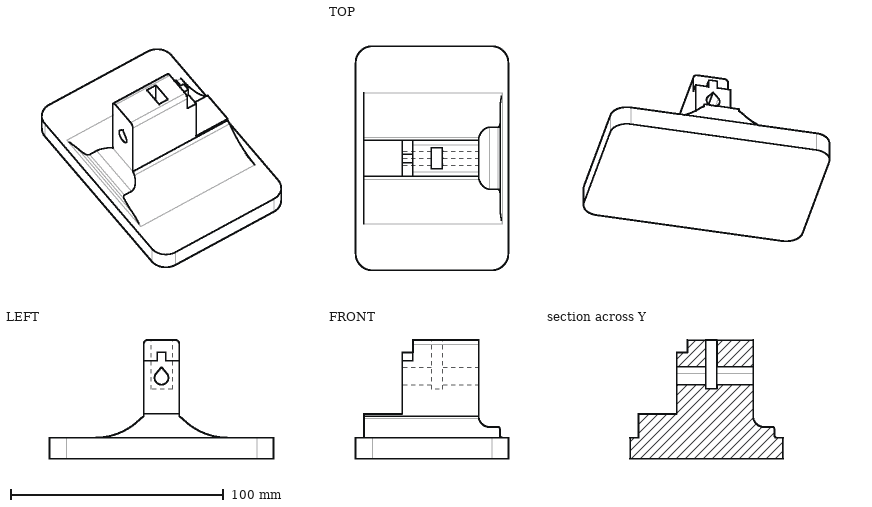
import cadquery as cq
import math

BASE_LENGTH = 72.0
BASE_WIDTH = 105.6
BASE_HEIGHT = 10.0
BASE_CORNER_RADIUS = 8.0
BASE_LEFT = -BASE_LENGTH / 2

FOOT_INSET = 4.0
FOOT_LEFT = BASE_LEFT + FOOT_INSET
FOOT_LENGTH = 64.0
FOOT_RIGHT = FOOT_LEFT + FOOT_LENGTH
FOOT_HALF_WIDTH = 30.9
FLARE_RADIUS = 29.3
FLARE_TOP = 18.95
BEVEL_TOP = 20.0
LEDGE_TOP = 21.1

BLOCK_INSET = 22.0
BLOCK_LENGTH = 36.0
BLOCK_LEFT = BASE_LEFT + BLOCK_INSET
BLOCK_RIGHT = BLOCK_LEFT + BLOCK_LENGTH
BLOCK_WIDTH = 16.8
BLOCK_TOP = 56.0
BLOCK_EDGE_RADIUS = 2.0

STEP_DEPTH = 5.0
STEP_LEVEL = 46.1
KEY_WIDTH = 4.0
KEY_HEIGHT = 4.0

SHELF_LEVEL = 15.0
SHELF_FILLET_RADIUS = BEVEL_TOP - SHELF_LEVEL
SHELF_EDGE_RADIUS = 1.0
FOOT_END_FILLET_RADIUS = 1.0

HOLE_RADIUS = 3.2
HOLE_LEVEL = 38.1
HOLE_APEX_RISE = 5.0
POCKET_LENGTH = 5.1
POCKET_WIDTH = 10.1
POCKET_INSET = 13.75
POCKET_LEFT = BLOCK_LEFT + POCKET_INSET
POCKET_FLOOR = HOLE_LEVEL - POCKET_WIDTH / 2


def box(x_min, x_max, width, z_min, z_max):
    """Box spanning the given X and Z limits, centred on Y = 0."""
    return (
        cq.Workplane("XY", origin=((x_min + x_max) / 2, 0, z_min))
        .rect(x_max - x_min, width)
        .extrude(z_max - z_min)
    )


def base_plate():
    plate = box(BASE_LEFT, BASE_LEFT + BASE_LENGTH, BASE_WIDTH, 0, BASE_HEIGHT)
    return plate.edges("|Z").fillet(BASE_CORNER_RADIUS)


def flare_offset(rise):
    """Distance from the flare's outer edge at a given rise above the plate."""
    return math.sqrt(FLARE_RADIUS**2 - (FLARE_RADIUS - rise) ** 2)


def flared_section(x_min, x_max):
    """Foot cross-section whose concave flanks leave the plate tangentially."""
    rise = FLARE_TOP - BASE_HEIGHT
    flare_top_y = FOOT_HALF_WIDTH - flare_offset(rise)
    middle_y = FOOT_HALF_WIDTH - flare_offset(rise / 2)
    middle_z = BASE_HEIGHT + rise / 2
    neck_y = BLOCK_WIDTH / 2
    return (
        cq.Workplane("YZ", origin=(x_min, 0, 0))
        .moveTo(-FOOT_HALF_WIDTH, BASE_HEIGHT)
        .threePointArc((-middle_y, middle_z), (-flare_top_y, FLARE_TOP))
        .lineTo(-neck_y, BEVEL_TOP)
        .lineTo(-neck_y, LEDGE_TOP)
        .lineTo(neck_y, LEDGE_TOP)
        .lineTo(neck_y, BEVEL_TOP)
        .lineTo(flare_top_y, FLARE_TOP)
        .threePointArc((middle_y, middle_z), (FOOT_HALF_WIDTH, BASE_HEIGHT))
        .close()
        .extrude(x_max - x_min)
    )


def foot_side_profile():
    """Foot outline along X: block end, shelf fillet, shelf, rounded edge, end fillet."""
    diagonal = math.sqrt(0.5)
    shelf_start = BLOCK_RIGHT + SHELF_FILLET_RADIUS
    end_radius = FOOT_END_FILLET_RADIUS
    edge_center_x = FOOT_RIGHT - SHELF_EDGE_RADIUS
    edge_center_z = SHELF_LEVEL - SHELF_EDGE_RADIUS
    end_center_x = FOOT_RIGHT + end_radius
    end_center_z = BASE_HEIGHT + end_radius
    fillet_reach = SHELF_FILLET_RADIUS * diagonal
    edge_reach = SHELF_EDGE_RADIUS * diagonal
    end_reach = end_radius * diagonal
    return (
        cq.Workplane("XZ", origin=(0, FOOT_HALF_WIDTH, 0))
        .moveTo(FOOT_LEFT, BASE_HEIGHT)
        .lineTo(FOOT_LEFT, LEDGE_TOP)
        .lineTo(BLOCK_RIGHT, LEDGE_TOP)
        .lineTo(BLOCK_RIGHT, BEVEL_TOP)
        .threePointArc(
            (shelf_start - fillet_reach, BEVEL_TOP - fillet_reach),
            (shelf_start, SHELF_LEVEL),
        )
        .lineTo(edge_center_x, SHELF_LEVEL)
        .threePointArc(
            (edge_center_x + edge_reach, edge_center_z + edge_reach),
            (FOOT_RIGHT, edge_center_z),
        )
        .lineTo(FOOT_RIGHT, end_center_z)
        .threePointArc(
            (end_center_x - end_reach, end_center_z - end_reach),
            (end_center_x, BASE_HEIGHT),
        )
        .close()
        .extrude(2 * FOOT_HALF_WIDTH)
    )


def foot():
    section = flared_section(FOOT_LEFT, FOOT_RIGHT + FOOT_END_FILLET_RADIUS)
    return section.intersect(foot_side_profile())


def block():
    step_right = BLOCK_LEFT + STEP_DEPTH
    upright = box(BLOCK_LEFT, BLOCK_RIGHT, BLOCK_WIDTH, BEVEL_TOP, BLOCK_TOP)
    upright = upright.edges("|X and >Z").fillet(BLOCK_EDGE_RADIUS)
    upright = upright.cut(box(BLOCK_LEFT, step_right, BLOCK_WIDTH, STEP_LEVEL, BLOCK_TOP))
    key = box(BLOCK_LEFT, step_right, KEY_WIDTH, STEP_LEVEL, STEP_LEVEL + KEY_HEIGHT)
    return upright.union(key)


def teardrop_hole():
    """Bolt hole whose upper half closes in two tangent flats meeting at an apex."""
    tangent_rise = HOLE_RADIUS**2 / HOLE_APEX_RISE
    tangent_y = math.sqrt(HOLE_RADIUS**2 - tangent_rise**2)
    tangent_z = HOLE_LEVEL + tangent_rise
    return (
        cq.Workplane("YZ", origin=(BLOCK_LEFT, 0, 0))
        .moveTo(-tangent_y, tangent_z)
        .threePointArc((0, HOLE_LEVEL - HOLE_RADIUS), (tangent_y, tangent_z))
        .lineTo(0, HOLE_LEVEL + HOLE_APEX_RISE)
        .close()
        .extrude(BLOCK_LENGTH)
    )


def nut_pocket():
    return box(POCKET_LEFT, POCKET_LEFT + POCKET_LENGTH, POCKET_WIDTH, POCKET_FLOOR, BLOCK_TOP)


result = base_plate().union(foot()).union(block()).cut(teardrop_hole()).cut(nut_pocket())